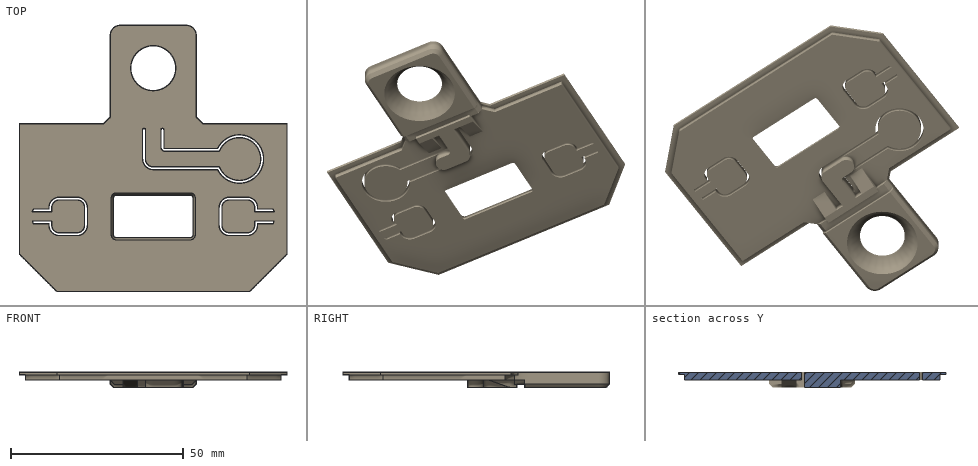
import cadquery as cq
import math

BODY_WIDTH = 77.7
BODY_TOP = 48.75
TOTAL_LENGTH = 77.38
CORNER_CUT = 10.85

SKIN_DEPTH = 0.8
PLATE_DEPTH = 2.3
GROOVE_DEPTH = 3.5
TOTAL_DEPTH = 4.45

BACKING_INSET = 1.75
SKIN_GUSSET = 2.0
BACKING_GUSSET = 2.75

TAB_WIDTH = 25.0
TAB_RADIUS = 3.0
TAB_CHAMFER = 1.0
TAB_HOLE_DIAMETER = 13.0
TAB_HOLE_FLARE = 20.5
TAB_HOLE_Y = TOTAL_LENGTH - TAB_WIDTH / 2
TAB_FOOT_Y = 52.7
NECK_END_Y = BODY_TOP - BACKING_INSET + BACKING_GUSSET

SHOE_WIDTH = 17.6
SHOE_TOP_Y = 50.45
RAMP_TOP_Y = 48.4
RAMP_LENGTH = 6.0
SHOE_GAP_WIDTH = 9.1

CONTROL_Y = 21.85
WINDOW_LENGTH = 24.4
WINDOW_HEIGHT = 13.6
WINDOW_RADIUS = 1.4
WINDOW_INSET = 0.7
WINDOW_TAPER_DEPTH = 1.75

SLOT = 0.75
TONGUE_HALF = 2.3
TONGUE_TOP_Y = 47.0
TONGUE_AXIS_Y = 38.5
DISC_X = 25.0
DISC_RADIUS = 6.25
INNER_BEND_RADIUS = 1.0
RIB_END_X = 8.3

BUTTON_X = 24.7
BUTTON_SIZE = 9.6
BUTTON_RADIUS = 2.25
LEAD_HALF = 1.375
LEAD_END_X = 35.1
LEAD_END_SKEW = 0.35


def prism(sketch, top_depth, bottom_depth):
    """Extrude a sketch drawn at z = 0 between two depths below the top face."""
    return sketch.extrude(top_depth - bottom_depth).translate((0, 0, -top_depth))


def box(x_min, x_max, y_min, y_max, top_depth, bottom_depth):
    sketch = cq.Workplane("XY").moveTo((x_min + x_max) / 2, (y_min + y_max) / 2)
    return prism(sketch.rect(x_max - x_min, y_max - y_min), top_depth, bottom_depth)


def body_layer(inset, gusset, top_depth, bottom_depth):
    """Body with cut lower corners, gussets and the neck up to the foot of the tab."""
    half = BODY_WIDTH / 2 - inset
    cut = CORNER_CUT - inset * (2 - math.sqrt(2))
    shoulder_y = BODY_TOP - inset
    neck = TAB_WIDTH / 2
    right_side = [
        (half - cut, inset),
        (half, inset + cut),
        (half, shoulder_y),
        (neck + gusset, shoulder_y),
        (neck, shoulder_y + gusset),
        (neck, TAB_FOOT_Y),
    ]
    left_side = [(-x, y) for x, y in reversed(right_side)]
    return prism(cq.Workplane("XY").polyline(right_side + left_side).close(), top_depth, bottom_depth)


def tab():
    """Full-depth tab, bevelled underneath along its sides and rounded end."""
    half = TAB_WIDTH / 2
    overlap = 2 * TAB_CHAMFER
    block = box(-half, half, TAB_FOOT_Y - overlap, TOTAL_LENGTH, 0, TOTAL_DEPTH)
    block = block.edges("|Z and >Y").fillet(TAB_RADIUS)
    block = block.faces("<Z").edges().chamfer(TAB_CHAMFER)
    return block.intersect(box(-half, half, TAB_FOOT_Y, TOTAL_LENGTH, 0, TOTAL_DEPTH))


def neck():
    """Bevelled floor of the groove between the tab and the shoe."""
    half = TAB_WIDTH / 2
    floor_half = half - (GROOVE_DEPTH - PLATE_DEPTH)
    section = [
        (-half, -PLATE_DEPTH),
        (half, -PLATE_DEPTH),
        (floor_half, -GROOVE_DEPTH),
        (-floor_half, -GROOVE_DEPTH),
    ]
    sketch = cq.Workplane("XZ", origin=(0, TAB_FOOT_Y, 0)).polyline(section).close()
    return sketch.extrude(TAB_FOOT_Y - NECK_END_Y)


def shoe():
    """Wedge that ramps up to the plate, open in the middle for the tongue."""
    section = [
        (SHOE_TOP_Y, -PLATE_DEPTH),
        (SHOE_TOP_Y, -TOTAL_DEPTH),
        (RAMP_TOP_Y, -TOTAL_DEPTH),
        (RAMP_TOP_Y - RAMP_LENGTH, -PLATE_DEPTH),
    ]
    wedge = cq.Workplane("YZ").polyline(section).close().extrude(SHOE_WIDTH / 2, both=True)
    gap = box(-SHOE_GAP_WIDTH / 2, SHOE_GAP_WIDTH / 2, RAMP_TOP_Y - RAMP_LENGTH, RAMP_TOP_Y,
              PLATE_DEPTH, TOTAL_DEPTH)
    return wedge.cut(gap)


def tongue_strip(half, top_y, end_x, bend_radius, top_depth, bottom_depth):
    """L-shaped strip: down from top_y, round the bend and out along +X to end_x."""
    low_y = TONGUE_AXIS_Y - half
    high_y = TONGUE_AXIS_Y + half
    diagonal = math.sqrt(0.5)
    bend_x = half + bend_radius
    bend_y = high_y + bend_radius
    sketch = (
        cq.Workplane("XY")
        .moveTo(-half, top_y)
        .lineTo(-half, TONGUE_AXIS_Y)
        .threePointArc((-half * diagonal, TONGUE_AXIS_Y - half * diagonal), (0, low_y))
        .lineTo(end_x, low_y)
        .lineTo(end_x, high_y)
        .lineTo(bend_x, high_y)
        .threePointArc((bend_x - bend_radius * diagonal, bend_y - bend_radius * diagonal), (half, bend_y))
        .lineTo(half, top_y)
        .close()
    )
    return prism(sketch, top_depth, bottom_depth)


def tongue_rib():
    """Rib under the tongue, joined to the shoe and rounded at its free end."""
    end_centre_x = RIB_END_X - TONGUE_HALF
    strip = tongue_strip(TONGUE_HALF, RAMP_TOP_Y, end_centre_x, INNER_BEND_RADIUS, PLATE_DEPTH, TOTAL_DEPTH)
    round_end = cq.Workplane("XY").moveTo(end_centre_x, TONGUE_AXIS_Y).circle(TONGUE_HALF)
    return strip.union(prism(round_end, PLATE_DEPTH, TOTAL_DEPTH))


def tongue_slot():
    """Slot that frees the L-shaped tongue and its disc, left attached at the top end."""
    def tongue(offset):
        strip = tongue_strip(TONGUE_HALF + offset, TONGUE_TOP_Y, DISC_X,
                             INNER_BEND_RADIUS - offset, 0, PLATE_DEPTH)
        disc = cq.Workplane("XY").moveTo(DISC_X, TONGUE_AXIS_Y).circle(DISC_RADIUS + offset)
        return strip.union(prism(disc, 0, PLATE_DEPTH))

    slot_offset = TONGUE_HALF + SLOT / 2
    slot_ends = [(-slot_offset, TONGUE_TOP_Y), (slot_offset, TONGUE_TOP_Y)]
    rounds = prism(cq.Workplane("XY").pushPoints(slot_ends).circle(SLOT / 2), 0, PLATE_DEPTH)
    return tongue(SLOT).cut(tongue(0)).union(rounds)


def button_slot():
    """Slot that frees the left button and its lead, left attached at the outer end."""
    def button(offset):
        size = BUTTON_SIZE + 2 * offset
        pad = prism(cq.Workplane("XY").rect(size, size), 0, PLATE_DEPTH)
        return pad.edges("|Z").fillet(BUTTON_RADIUS + offset).translate((-BUTTON_X, CONTROL_Y, 0))

    lead_outer = LEAD_HALF + SLOT
    outer_lead = [
        (-LEAD_END_X, LEAD_HALF),
        (-LEAD_END_X + LEAD_END_SKEW, lead_outer),
        (-BUTTON_X, lead_outer),
        (-BUTTON_X, -lead_outer),
        (-LEAD_END_X + LEAD_END_SKEW, -lead_outer),
        (-LEAD_END_X, -LEAD_HALF),
    ]
    lead_region = prism(cq.Workplane("XY").polyline(outer_lead).close(), 0, PLATE_DEPTH)
    lead_region = lead_region.translate((0, CONTROL_Y, 0))
    lead = box(-LEAD_END_X, -BUTTON_X, CONTROL_Y - LEAD_HALF, CONTROL_Y + LEAD_HALF, 0, PLATE_DEPTH)
    return button(SLOT).union(lead_region).cut(button(0)).cut(lead)


def window():
    """Rectangular opening with walls that taper in to a short straight land at the underside."""
    length = WINDOW_LENGTH - 2 * WINDOW_INSET
    height = WINDOW_HEIGHT - 2 * WINDOW_INSET
    land = prism(cq.Workplane("XY").rect(length, height), 0, PLATE_DEPTH)
    land = land.edges("|Z").fillet(WINDOW_RADIUS - WINDOW_INSET)
    taper = math.degrees(math.atan2(WINDOW_INSET, WINDOW_TAPER_DEPTH))
    outline = cq.Sketch().rect(WINDOW_LENGTH, WINDOW_HEIGHT).vertices().fillet(WINDOW_RADIUS)
    funnel = cq.Workplane("XY").placeSketch(outline).extrude(-WINDOW_TAPER_DEPTH, taper=taper)
    return funnel.union(land).translate((0, CONTROL_Y, 0))


def tab_hole():
    """Conical hole that flares towards the underside."""
    cone = cq.Solid.makeCone(TAB_HOLE_FLARE / 2, TAB_HOLE_DIAMETER / 2, TOTAL_DEPTH)
    return cq.Workplane("XY").add(cone.translate(cq.Vector(0, TAB_HOLE_Y, -TOTAL_DEPTH)))


result = body_layer(0, SKIN_GUSSET, 0, SKIN_DEPTH)
result = result.union(body_layer(BACKING_INSET, BACKING_GUSSET, SKIN_DEPTH, PLATE_DEPTH))
for addition in (tab(), neck(), shoe(), tongue_rib()):
    result = result.union(addition)

left_button_slot = button_slot()
right_button_slot = left_button_slot.mirror("YZ")
for opening in (tab_hole(), window(), tongue_slot(), left_button_slot, right_button_slot):
    result = result.cut(opening)